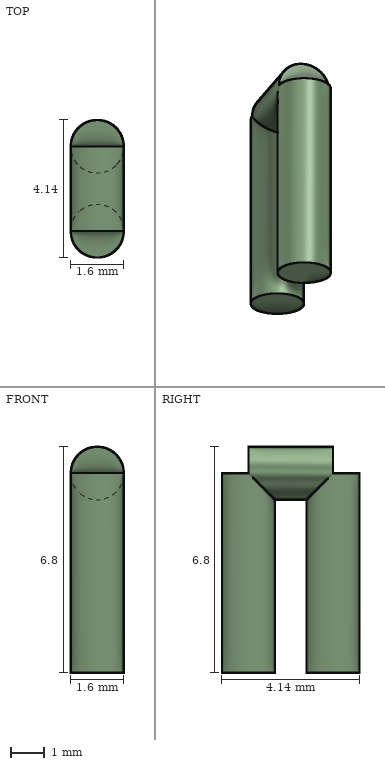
import cadquery as cq

rod_diameter = 1.6
leg_spacing = 2.54
leg_height = 6.0

rod_radius = rod_diameter / 2


def make_leg(y_center):
    """Upright round leg standing on the Z = 0 plane."""
    return cq.Workplane("XY").center(0, y_center).circle(rod_radius).extrude(leg_height)


def make_crossbar():
    """Horizontal round bar running from one leg axis to the other."""
    return (
        cq.Workplane("XZ", origin=(0, 0, leg_height))
        .circle(rod_radius)
        .extrude(leg_spacing / 2, both=True)
    )


result = make_crossbar()
for side in (-1, 1):
    result = result.union(make_leg(side * leg_spacing / 2))